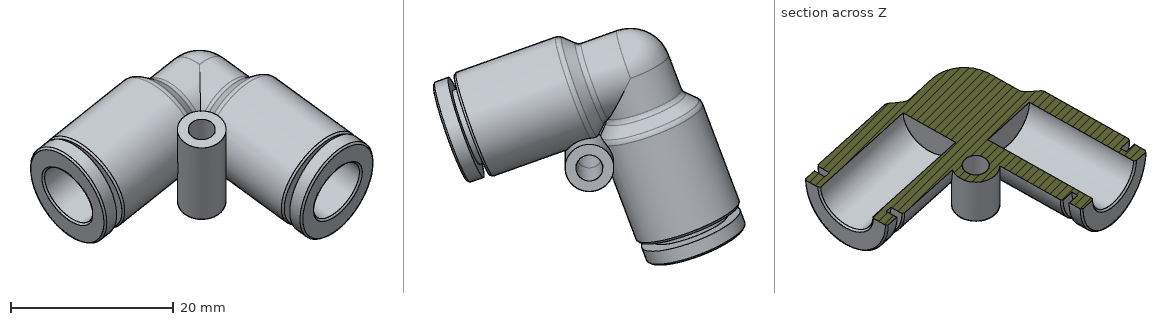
import cadquery as cq
import math

neck_radius = 5.0
body_radius = 6.8
leg_length = 23.6

body_end = 20.75
body_end_chamfer_length = 0.3
body_end_chamfer_depth = 0.2
ring_thickness = 2.0
ring_start = leg_length - ring_thickness

shoulder_start = 5.05
shoulder_angle = 43.0
shoulder_blend = 1.0
shoulder_end = shoulder_start + (body_radius - neck_radius) / math.tan(math.radians(shoulder_angle))

collar_radius = 4.86
ring_width = 13.0
ring_height = 15.0
ring_chamfer = 0.25

socket_radius = 4.1
socket_chamfer = 0.25
socket_depth = leg_length - shoulder_end

eye_offset = 8.52
eye_radius = 3.0
eye_hole_radius = 1.65
eye_height = 2 * body_radius

web_width = 0.4
web_height = 1.5
web_length = eye_offset * math.sqrt(2) - eye_hole_radius


def leg_section(offset):
    """Workplane across the +X leg; local x is global Y, local y is global Z."""
    return cq.Workplane("YZ", origin=(offset, 0, 0))


def make_neck_and_body():
    profile = (
        cq.Workplane("XY")
        .lineTo(0, neck_radius)
        .lineTo(shoulder_start, neck_radius)
        .lineTo(shoulder_end, body_radius)
        .lineTo(body_end - body_end_chamfer_length, body_radius)
        .lineTo(body_end, body_radius - body_end_chamfer_depth)
        .lineTo(body_end, 0)
        .close()
    )
    body = profile.revolve(360, (0, 0, 0), (1, 0, 0))
    margin = shoulder_blend
    shoulder_edges = cq.selectors.BoxSelector(
        (shoulder_start - margin, -body_radius - margin, -body_radius - margin),
        (shoulder_end + margin, body_radius + margin, body_radius + margin),
    )
    return body.edges("%CIRCLE").edges(shoulder_edges).fillet(shoulder_blend)


def make_release_ring():
    collar = leg_section(body_end).circle(collar_radius).extrude(ring_start - body_end)
    flange = leg_section(ring_start).ellipse(ring_width / 2, ring_height / 2).extrude(ring_thickness)
    flange = flange.faces(">X").edges().chamfer(ring_chamfer)
    return collar.union(flange)


def make_leg():
    return make_neck_and_body().union(make_release_ring())


def make_socket():
    bore = leg_section(leg_length - socket_depth).circle(socket_radius).extrude(socket_depth)
    lead_in = (
        leg_section(leg_length)
        .circle(socket_radius + socket_chamfer)
        .workplane(offset=-socket_chamfer)
        .circle(socket_radius)
        .loft()
    )
    return bore.union(lead_in)


def turn_to_second_leg(shape):
    """Half turn about the diagonal y = -x, carrying the +X leg onto the -Y leg."""
    return shape.rotate((0, 0, 0), (1, -1, 0), 180)


def eye_cylinder(radius):
    """Cylinder on the eye axis, centred on the plane of the elbow."""
    return (
        cq.Workplane("XY", origin=(eye_offset, -eye_offset, 0))
        .circle(radius)
        .extrude(eye_height / 2, both=True)
    )


def make_web():
    bar = cq.Workplane("XY").box(web_length, web_width, web_height, centered=(False, True, True))
    return bar.rotate((0, 0, 0), (0, 0, 1), -45)


leg = make_leg()
socket = make_socket()
result = (
    cq.Workplane("XY")
    .sphere(neck_radius)
    .union(leg)
    .union(turn_to_second_leg(leg))
    .union(eye_cylinder(eye_radius))
    .union(make_web())
    .cut(socket)
    .cut(turn_to_second_leg(socket))
    .cut(eye_cylinder(eye_hole_radius))
)